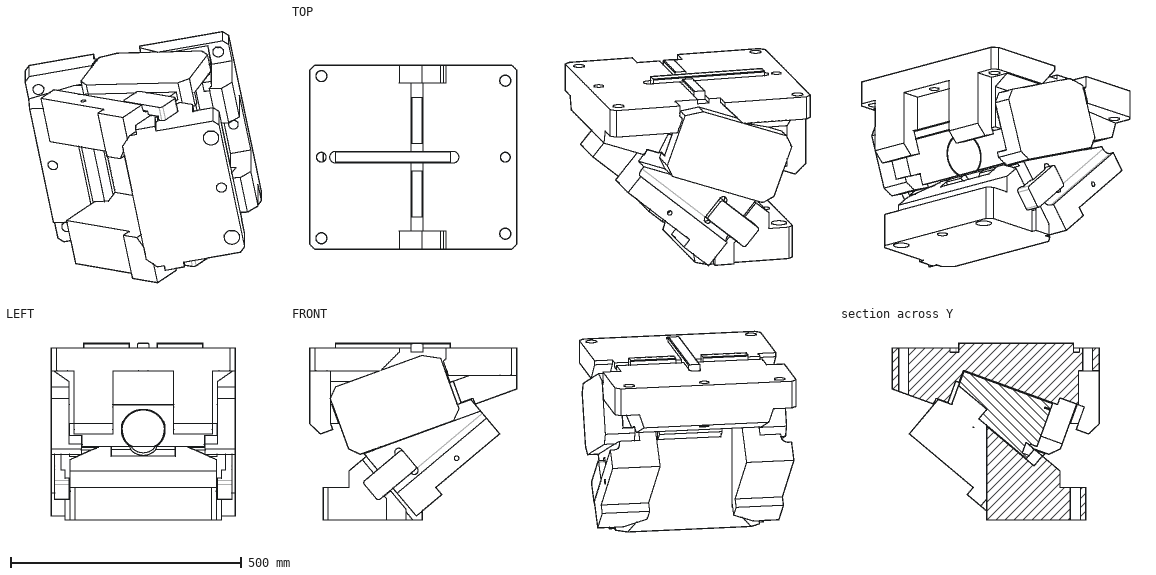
import cadquery as cq
import math


HANG_ANGLE = 20.0
RAMP_ANGLE = 40.0
FAR = 900.0

LENGTH = 450.0
WIDTH = 400.0
HALF_WIDTH = WIDTH / 2
PLATE_TOP = 374.0
PLATE_BOTTOM = 324.0
PLATE_LOW_BOTTOM = 314.0
PLATE_STEP_X = 299.2
PLATE_CORNER = 11.2
CORE_HALF = 160.5
CORE_LEFT = 45.0
CORE_TOP = 337.5
NOTCH_LEFT, NOTCH_RIGHT = 195.0, 296.0
NOTCH_BEVEL_Z = 365.0
NOTCH_CORNER_Z = 350.0
NOTCH_WAIST_X, NOTCH_WAIST_Z = 290.2, 344.5
NOTCH_FLOOR = 310.5
BOLT_RADIUS = 11.5
DOWEL_RADIUS = 10.5
HOLE_LEFT_X, HOLE_RIGHT_X = 25.5, 425.0
BOLT_LEFT_Y, BOLT_RIGHT_Y = 176.0, 166.0

KEY_WIDTH = 25.0
KEY_TOP = 384.0
KEY_CHAMFER = 2.0
SLOT_FLOOR = 364.5
CROSS_KEY_X = 233.0
CROSS_KEY_INNER, CROSS_KEY_OUTER = 30.0, 129.5
LONG_KEY_START, LONG_KEY_END = 56.0, 305.5
LONG_SLOT_START, LONG_SLOT_END = 43.5, 324.0

LEG_INNER, LEG_OUTER = 66.0, 150.0
LEG_CORNER_Z = 209.2
LEG_TIP_X = 23.5
LEG_BOTTOM_T = 167.5
LEG_NOTCH_S = 114.8
CORE_FRONT_T, CORE_BOTTOM_T = 219.5, 204.5
CORE_STEP_S = 171.0
CORE_END_S = 388.5
CHEEK_END_S = 131.5
LEG_SKIN_INNER = 139.5
SKIRT_HALF, SKIRT_BOTTOM, SKIRT_END_X = 195.0, 300.5, 152.0
STOP_START_S, STOP_STEP_S = 396.0, 423.5
STOP_TOP_T, STOP_UPPER_T, STOP_LOWER_T = 176.5, 127.0, 113.5
STOP_TAPER = 23.0

HOOK_START_S, HOOK_END_S = 132.5, 387.5
HOOK_BOTTOM_T, HOOK_TOP_T = 96.5, 252.5
HOOK_CORNER = 20.0
HOOK_LONG_CORNER = 36.5
LIP_INNER = 134.5
LIP_TOP_T = 128.0

SLIDE_START_P, SLIDE_END_P = 183.0, 436.5
SLIDE_BOTTOM_Q, SLIDE_RAISED_Q = -142.0, -122.0
SLIDE_STEP_P = 255.5
SLIDE_WALL_HALF = 178.0
LEDGE_Q = -77.5
COVE_RADIUS = 14.0
SHELF_T = 95.5
NECK_HALF = 132.8
NECK_BOTTOM_T, NECK_TAIL_T = 103.5, 126.5
NECK_ROOT_P = 220.5
FLANGE_HALF = 159.8
FLANGE_BOTTOM_T, FLANGE_TOP_T = 128.5, 203.0
FLANGE_START_S, FLANGE_END_S = 182.0, 387.0
RIB_HALF, RIB_BOTTOM_Q = 69.5, 0.0
RIB_START_P, RIB_END_P = 207.0, 342.0
NOSE_T, NOSE_RADIUS, NOSE_END_S = 111.5, 31.5, 207.0
SEAT_T, SEAT_RADIUS, SEAT_GROOVE, SEAT_DEPTH = 142.0, 47.5, 2.0, 13.5
PIN_P, PIN_Q, PIN_RADIUS, PIN_DEPTH = 330.8, -102.0, 5.0, 18.0

CLAMP_START_P, CLAMP_END_P = 141.0, 251.5
CLAMP_BOTTOM_Q, CLAMP_TOP_Q = -63.5, -11.2
CLAMP_INNER, CLAMP_OUTER = 160.5, 192.5
CLAMP_TIP_P, CLAMP_RELIEF_INNER = 155.2, 170.0
CLAMP_ROUND = 6.0
RELIEF_RADIUS, RELIEF_P = 8.5, 243.0

BASE_LEFT, BASE_RIGHT = 29.2, 245.0
BASE_STEP_X, BASE_STEP_Z = 85.5, 71.0
BASE_HALF = 159.0
BASE_CORNER = 11.2
RAMP_Q = 27.0
RIB_SLOT_P = 184.5
TONGUE_HALF = 94.5
TAPER_START_P, TAPER_END_P = 172.0, 217.0
CHANNEL_GAP = 1.0
FLANK_HALF = 170.0
FLANK_CORNER_Z = 47.2
FLANK_START_P, FLANK_TOP_Q = 157.5, -64.5
FLANK_LEFT, FLANK_RIGHT, FLANK_END_P = 166.5, 209.2, 175.5
BASE_HOLE_X, BASE_BOLT_Y = 52.0, 120.0
BASE_BOLT_RADIUS, BASE_DOWEL_RADIUS = 16.5, 11.0

SIDES = (-1, 1)


def from_frame(angle, along, up):
    """X and Z of a point given along and square to a direction that rises at the angle."""
    a = math.radians(angle)
    return (along * math.cos(a) - up * math.sin(a), along * math.sin(a) + up * math.cos(a))


def hang(s, t):
    """X and Z of a point in the frame of the holder-slide surfaces."""
    return from_frame(HANG_ANGLE, s, t)


def ramp(p, q):
    """X and Z of a point in the frame of the slide-base surfaces."""
    return from_frame(RAMP_ANGLE, p, q)


def hang_height(x, t):
    """Height at x of the line that rises at the hang angle at offset t."""
    a = math.radians(HANG_ANGLE)
    return (t + x * math.sin(a)) / math.cos(a)


def hang_reach(z, t):
    """X at height z of the line that rises at the hang angle at offset t."""
    a = math.radians(HANG_ANGLE)
    return (z * math.cos(a) - t) / math.sin(a)


def hang_in_ramp_frame(p, t):
    """Offset q at the place p where the hang line at offset t crosses."""
    a = math.radians(RAMP_ANGLE - HANG_ANGLE)
    return (t - p * math.sin(a)) / math.cos(a)


def tilt(shape, angle):
    """Turn a shape about the Y axis so that its X axis rises at the angle."""
    return shape.rotate((0, 0, 0), (0, 1, 0), -angle)


def block(x0, x1, y0, y1, z0, z1):
    """Box between two limits on each axis."""
    return cq.Workplane("XY").box(x1 - x0, y1 - y0, z1 - z0, centered=False).translate((x0, y0, z0))


def side_block(side, x0, x1, inner, outer, z0, z1):
    """Block between two distances from the mirror plane, on one side of it."""
    y0, y1 = sorted((side * inner, side * outer))
    return block(x0, x1, y0, y1, z0, z1)


def wide_prism(points, half):
    """X-Z outline carried to both sides of the mirror plane."""
    return cq.Workplane("XZ").polyline(points).close().extrude(half, both=True)


def side_prism(side, points, inner, outer):
    """X-Z outline carried between two distances from the mirror plane, on one side of it."""
    prism = cq.Workplane("XZ").polyline(points).close().extrude(inner - outer)
    return prism.translate((0, inner if side > 0 else -outer, 0))


def post(x, y, radius):
    """Tall upright cylinder used to drill holes."""
    return cq.Workplane("XY").center(x, y).circle(radius).extrude(FAR)


def cross_rod(side, x, z, radius, inner, outer):
    """Cylinder along Y between two distances from the mirror plane."""
    rod = cq.Workplane("XZ").center(x, z).circle(radius).extrude(inner - outer)
    return rod.translate((0, inner if side > 0 else -outer, 0))


def guide_prism(gap):
    """Ramp of the base: wide at its foot, tapering to a tongue; the gap widens it."""
    wide, narrow = BASE_HALF + gap, TONGUE_HALF + gap
    half_plan = [(TAPER_START_P, wide), (TAPER_END_P, narrow), (FAR, narrow)]
    plan = [(-FAR, wide)] + half_plan
    plan += [(p, -y) for p, y in reversed(plan)]
    prism = cq.Workplane("XY").workplane(offset=RAMP_Q).polyline(plan).close().extrude(-FAR)
    return tilt(prism, RAMP_ANGLE)


def make_plate():
    """Plate notched at both sides for the hooks, thicker at its right end."""
    outline = [
        (0, PLATE_TOP), (0, PLATE_BOTTOM), (PLATE_STEP_X, PLATE_BOTTOM),
        (PLATE_STEP_X, PLATE_LOW_BOTTOM), (LENGTH, PLATE_LOW_BOTTOM), (LENGTH, PLATE_TOP),
    ]
    plate = wide_prism(outline, HALF_WIDTH)
    plate = plate.edges("|Z and (<X or >X)").chamfer(PLATE_CORNER)
    right_wall_run = (NOTCH_WAIST_Z - NOTCH_FLOOR) * math.tan(math.radians(HANG_ANGLE))
    notch = [
        (NOTCH_LEFT, KEY_TOP), (NOTCH_LEFT, NOTCH_BEVEL_Z),
        (NOTCH_LEFT - (NOTCH_BEVEL_Z - NOTCH_FLOOR), NOTCH_FLOOR),
        (NOTCH_WAIST_X + right_wall_run, NOTCH_FLOOR),
        (NOTCH_WAIST_X, NOTCH_WAIST_Z), (NOTCH_RIGHT, NOTCH_CORNER_Z), (NOTCH_RIGHT, KEY_TOP),
    ]
    for side in SIDES:
        plate = plate.cut(side_prism(side, notch, CORE_HALF, FAR))
    return plate


def make_core():
    """Block under the plate, sloped skirts beside it, and the stop behind the slide."""
    stop_corner = (hang_reach(PLATE_LOW_BOTTOM, STOP_TOP_T), PLATE_LOW_BOTTOM)
    outline = [
        (CORE_LEFT, CORE_TOP), (CORE_LEFT, hang_height(CORE_LEFT, CORE_FRONT_T)),
        hang(CORE_STEP_S, CORE_FRONT_T), hang(CORE_STEP_S, CORE_BOTTOM_T),
        hang(CORE_END_S, CORE_BOTTOM_T), hang(CORE_END_S, STOP_TOP_T),
        stop_corner, (stop_corner[0], CORE_TOP),
    ]
    core = wide_prism(outline, CORE_HALF)
    skirt_section = [
        (-SKIRT_HALF, PLATE_BOTTOM), (-CORE_HALF, SKIRT_BOTTOM),
        (CORE_HALF, SKIRT_BOTTOM), (SKIRT_HALF, PLATE_BOTTOM),
    ]
    skirt = cq.Workplane("YZ").workplane(offset=CORE_LEFT).polyline(skirt_section).close()
    return core.union(skirt.extrude(SKIRT_END_X - CORE_LEFT)).union(make_stop())


def make_stop():
    """Stop behind the slide, stepped underneath and narrowing downwards."""
    outline = [
        hang(STOP_START_S, STOP_TOP_T), hang(STOP_START_S, STOP_UPPER_T),
        hang(STOP_STEP_S, STOP_UPPER_T), hang(STOP_STEP_S, STOP_LOWER_T),
        (LENGTH, hang_height(LENGTH, STOP_LOWER_T)), (LENGTH, PLATE_LOW_BOTTOM),
        (hang_reach(PLATE_LOW_BOTTOM, STOP_TOP_T), PLATE_LOW_BOTTOM),
    ]
    tapered_half = CORE_HALF - STOP_TAPER
    section = [
        (-tapered_half, STOP_LOWER_T), (tapered_half, STOP_LOWER_T),
        (CORE_HALF, STOP_TOP_T), (-CORE_HALF, STOP_TOP_T),
    ]
    tapered = cq.Workplane("YZ").polyline(section).close().extrude(FAR)
    return wide_prism(outline, CORE_HALF).intersect(tilt(tapered, HANG_ANGLE))


def make_leg(side):
    """Hooked leg in front of the slide, closed by a skin and a thin cheek on its outer side."""
    tip_height = hang_height(LEG_TIP_X, LEG_BOTTOM_T)
    leg_outline = [
        (0, PLATE_BOTTOM), (0, LEG_CORNER_Z), (LEG_TIP_X, tip_height),
        hang(LEG_NOTCH_S, LEG_BOTTOM_T), hang(LEG_NOTCH_S, CORE_FRONT_T),
        (CORE_LEFT, hang_height(CORE_LEFT, CORE_FRONT_T)), (CORE_LEFT, PLATE_BOTTOM),
    ]
    a = math.radians(HANG_ANGLE)
    cheek_bottom_x = (CHEEK_END_S - LEG_CORNER_Z * math.sin(a)) / math.cos(a)
    cheek_outline = [
        (CORE_LEFT, PLATE_BOTTOM), (CORE_LEFT, LEG_CORNER_Z), (cheek_bottom_x, LEG_CORNER_Z),
        hang(CHEEK_END_S, CORE_FRONT_T), (cheek_bottom_x, PLATE_BOTTOM),
    ]
    skin_outline = [(LEG_TIP_X, PLATE_BOTTOM), (LEG_TIP_X, LEG_CORNER_Z)] + cheek_outline[2:]
    leg = side_prism(side, leg_outline, LEG_INNER, LEG_OUTER)
    leg = leg.union(side_prism(side, skin_outline, LEG_SKIN_INNER, LEG_OUTER))
    return leg.union(side_prism(side, cheek_outline, LEG_OUTER, CORE_HALF))


def make_hook(side):
    """Eight-sided side plate whose lower lip carries the slide."""
    s0, s1, t0, t1, c = HOOK_START_S, HOOK_END_S, HOOK_BOTTOM_T, HOOK_TOP_T, HOOK_CORNER
    outline = [
        (s0, t0 + c), (s0, t1 - c), (s0 + c, t1), (s1 - HOOK_LONG_CORNER, t1),
        (s1, t1 - c), (s1, t0 + c), (s1 - c, t0), (s0 + c, t0),
    ]
    hook = side_prism(side, outline, LIP_INNER, HALF_WIDTH)
    hook = hook.cut(side_block(side, 0, FAR, 0, CORE_HALF, LIP_TOP_T, FAR))
    return tilt(hook, HANG_ANGLE)


def cut_key_slots(holder):
    half = KEY_WIDTH / 2
    cross_slot = block(
        CROSS_KEY_X - half, CROSS_KEY_X + half, -CORE_HALF, CORE_HALF, SLOT_FLOOR, KEY_TOP)
    slot_middle = (LONG_SLOT_START + LONG_SLOT_END) / 2
    long_slot = cq.Workplane("XY").workplane(offset=SLOT_FLOOR).center(slot_middle, 0)
    long_slot = long_slot.slot2D(LONG_SLOT_END - LONG_SLOT_START, KEY_WIDTH).extrude(FAR)
    return holder.cut(cross_slot).cut(long_slot)


def make_keys():
    half = KEY_WIDTH / 2
    keys = block(LONG_KEY_START, LONG_KEY_END, -half, half, SLOT_FLOOR, KEY_TOP)
    keys = keys.edges("|X and >Z").chamfer(KEY_CHAMFER)
    for side in SIDES:
        key = side_block(side, CROSS_KEY_X - half, CROSS_KEY_X + half,
                         CROSS_KEY_INNER, CROSS_KEY_OUTER, SLOT_FLOOR, KEY_TOP)
        keys = keys.union(key.edges("|Y and >Z").chamfer(KEY_CHAMFER))
    return keys


def drill_plate(holder):
    for x, bolt_y in ((HOLE_LEFT_X, BOLT_LEFT_Y), (HOLE_RIGHT_X, BOLT_RIGHT_Y)):
        holder = holder.cut(post(x, 0, DOWEL_RADIUS))
        for side in SIDES:
            holder = holder.cut(post(x, side * bolt_y, BOLT_RADIUS))
    return holder


def make_holder():
    holder = make_plate().union(make_core())
    for side in SIDES:
        holder = holder.union(make_leg(side)).union(make_hook(side))
    return cut_key_slots(drill_plate(holder)).union(make_keys())


def make_slide_body():
    """Lower body of the slide: coved sides over a wider foot, cut off by a shelf."""
    section = (
        cq.Workplane("YZ").workplane(offset=SLIDE_START_P)
        .moveTo(0, SLIDE_BOTTOM_Q)
        .lineTo(HALF_WIDTH, SLIDE_BOTTOM_Q)
        .lineTo(HALF_WIDTH, LEDGE_Q)
        .lineTo(SLIDE_WALL_HALF + COVE_RADIUS, LEDGE_Q)
        .radiusArc((SLIDE_WALL_HALF, LEDGE_Q + COVE_RADIUS), COVE_RADIUS)
        .lineTo(SLIDE_WALL_HALF, SHELF_T)
        .lineTo(0, SHELF_T)
        .close()
    )
    half_body = section.extrude(SLIDE_END_P - SLIDE_START_P)
    body = half_body.union(half_body.mirror("XZ"))
    under_step = block(
        SLIDE_STEP_P, FAR, -HALF_WIDTH, HALF_WIDTH, SLIDE_BOTTOM_Q, SLIDE_RAISED_Q)
    above_shelf = block(-FAR, FAR, -HALF_WIDTH, HALF_WIDTH, SHELF_T, FAR)
    over_base = block(SLIDE_START_P, FAR, -FLANGE_HALF, FLANGE_HALF, RAMP_Q, FAR)
    body = body.cut(under_step).cut(over_base)
    return tilt(body, RAMP_ANGLE).cut(tilt(above_shelf, HANG_ANGLE))


def make_slide_head():
    """Neck between the holder hooks, topped by the flange that rests on their lips."""
    neck_outline = [
        hang(FLANGE_START_S, NECK_BOTTOM_T), hang(FLANGE_START_S, FLANGE_TOP_T),
        hang(FLANGE_END_S, FLANGE_TOP_T), hang(FLANGE_END_S, NECK_TAIL_T),
        ramp(SLIDE_END_P, hang_in_ramp_frame(SLIDE_END_P, NECK_TAIL_T)),
        ramp(SLIDE_END_P, LEDGE_Q), ramp(NECK_ROOT_P, LEDGE_Q),
        ramp(NECK_ROOT_P, hang_in_ramp_frame(NECK_ROOT_P, NECK_BOTTOM_T)),
    ]
    flange = block(FLANGE_START_S, FLANGE_END_S, -FLANGE_HALF, FLANGE_HALF,
                   FLANGE_BOTTOM_T, FLANGE_TOP_T)
    return wide_prism(neck_outline, NECK_HALF).union(tilt(flange, HANG_ANGLE))


def make_spring_seat():
    """Ring groove in the front end of the slide head."""
    ring = cq.Workplane("YZ").workplane(offset=FLANGE_START_S).center(0, SEAT_T)
    ring = ring.circle(SEAT_RADIUS).circle(SEAT_RADIUS - SEAT_GROOVE).extrude(SEAT_DEPTH)
    return tilt(ring, HANG_ANGLE)


def make_rib():
    """Rib under the slide that runs in the slot of the base, with a round recess in its nose."""
    rib = block(RIB_START_P, RIB_END_P, -RIB_HALF, RIB_HALF, RIB_BOTTOM_Q, RAMP_Q)
    recess = cq.Workplane("YZ").center(0, NOSE_T).circle(NOSE_RADIUS).extrude(NOSE_END_S)
    return tilt(rib, RAMP_ANGLE).cut(tilt(recess, HANG_ANGLE))


def make_slide_pockets(side):
    """Pin hole and clamp corner reliefs on one side."""
    pockets = cross_rod(side, PIN_P, PIN_Q, PIN_RADIUS, HALF_WIDTH - PIN_DEPTH, HALF_WIDTH)
    for q in (CLAMP_BOTTOM_Q, CLAMP_TOP_Q):
        pockets = pockets.union(
            cross_rod(side, RELIEF_P, q, RELIEF_RADIUS, CLAMP_INNER, HALF_WIDTH))
    return tilt(pockets, RAMP_ANGLE)


def make_clamp(side):
    """Side clamp whose tip hooks inwards, ahead of the slide."""
    clamp = side_block(side, CLAMP_START_P, CLAMP_END_P, CLAMP_INNER, CLAMP_OUTER,
                       CLAMP_BOTTOM_Q, CLAMP_TOP_Q)
    clamp = clamp.edges("|Y").fillet(CLAMP_ROUND)
    tip_relief = side_block(side, CLAMP_TIP_P, SLIDE_START_P, CLAMP_INNER, CLAMP_RELIEF_INNER,
                            CLAMP_BOTTOM_Q, CLAMP_TOP_Q)
    return tilt(clamp.cut(tip_relief), RAMP_ANGLE)


def make_slide():
    slide = make_slide_body().union(make_slide_head())
    slide = slide.cut(guide_prism(CHANNEL_GAP)).cut(make_spring_seat())
    slide = slide.union(make_rib())
    for side in SIDES:
        slide = slide.cut(make_slide_pockets(side)).union(make_clamp(side))
    return slide


def make_flanks():
    """Widened stretch of the base under the clamps, ending short of the slide."""
    a = math.radians(RAMP_ANGLE)
    right_edge_q = (FLANK_END_P * math.cos(a) - FLANK_RIGHT) / math.sin(a)
    outline = [
        (FLANK_LEFT, 0), (FLANK_LEFT, FLANK_CORNER_Z), ramp(FLANK_START_P, FLANK_TOP_Q),
        ramp(FLANK_END_P, FLANK_TOP_Q), ramp(FLANK_END_P, right_edge_q), (FLANK_RIGHT, 0),
    ]
    return wide_prism(outline, FLANK_HALF)


def make_base():
    outline = [
        (BASE_LEFT, 0), (BASE_LEFT, BASE_STEP_Z), (BASE_STEP_X, BASE_STEP_Z),
        (BASE_STEP_X, FAR), (BASE_RIGHT, FAR), (BASE_RIGHT, 0),
    ]
    base = wide_prism(outline, BASE_HALF).edges("|Z and <X").chamfer(BASE_CORNER)
    foot = block(BASE_LEFT, BASE_STEP_X, -BASE_HALF, BASE_HALF, 0, BASE_STEP_Z)
    base = base.intersect(guide_prism(0).union(foot))
    slot_half = RIB_HALF + CHANNEL_GAP
    rib_slot = block(RIB_SLOT_P, FAR, -slot_half, slot_half, RIB_BOTTOM_Q - CHANNEL_GAP, FAR)
    base = base.cut(tilt(rib_slot, RAMP_ANGLE))
    base = base.union(make_flanks())
    base = base.cut(post(BASE_HOLE_X, 0, BASE_DOWEL_RADIUS))
    for side in SIDES:
        base = base.cut(post(BASE_HOLE_X, side * BASE_BOLT_Y, BASE_BOLT_RADIUS))
    return base


holder = make_holder()
slide = make_slide()
base = make_base()
result = cq.Compound.makeCompound([holder.val(), slide.val(), base.val()])